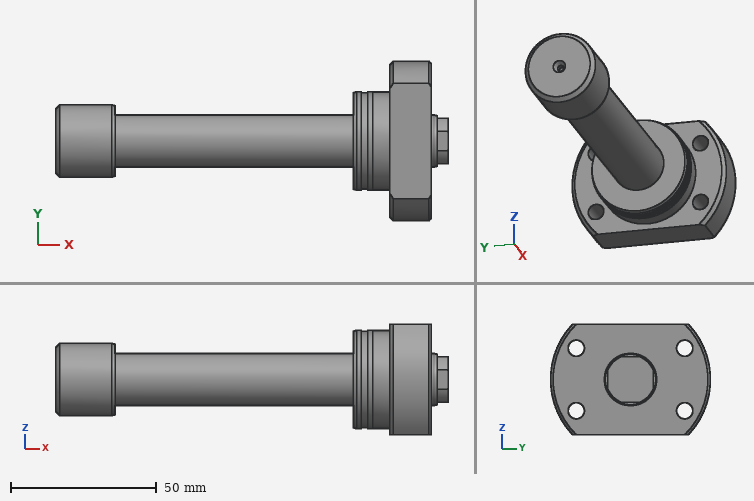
import cadquery as cq
import math


rod_length = 135.0
shank_diameter = 18.0
head_diameter = 25.0
head_length = 20.5
head_front_chamfer = 1.5
head_back_chamfer_length = 1.2
head_back_chamfer_angle = 20.0
shank_end_x = 131.2
shank_end_chamfer_length = 1.2
shank_end_chamfer_angle = 15.0
wrench_diameter = 17.2
wrench_across_flats = 15.8
wrench_end_chamfer_length = 0.5
wrench_end_chamfer_angle = 15.0

centre_mouth_diameter = 4.3
centre_pilot_diameter = 2.1
centre_cone_angle = 60.0
centre_pilot_depth = 4.0

flange_diameter = 55.0
flange_height = 38.0
flange_thickness = 14.3
flange_front_x = 114.8
flange_front_chamfer = 1.3
flange_back_chamfer = 0.9
spigot_diameter = 34.0
spigot_length = 12.5
spigot_chamfer_length = 1.2
spigot_chamfer_angle = 20.0
groove_diameter = 33.2
groove_front_offset = 2.8
groove_width = 2.1
land_width = 1.7
seat_diameter = 33.8

bolt_circle_diameter = 43.0
bolt_hole_diameter = 5.5
bolt_angle = 30.0


def revolve_about_x(points):
    """Close an (x, radius) outline and spin it round the X axis."""
    return cq.Workplane("XY").polyline(points).close().revolve(360, (0, 0, 0), (1, 0, 0))


def centre_hole():
    """Cone and pilot drilled into the head along +X."""
    mouth_radius = centre_mouth_diameter / 2
    pilot_radius = centre_pilot_diameter / 2
    cone_depth = (mouth_radius - pilot_radius) / math.tan(math.radians(centre_cone_angle / 2))
    return revolve_about_x([
        (0, 0),
        (0, mouth_radius),
        (cone_depth, pilot_radius),
        (centre_pilot_depth, pilot_radius),
        (centre_pilot_depth + pilot_radius, 0),
    ])


def make_rod():
    head_radius = head_diameter / 2
    shank_radius = shank_diameter / 2
    wrench_radius = wrench_diameter / 2
    back_chamfer_drop = head_back_chamfer_length * math.tan(math.radians(head_back_chamfer_angle))
    shank_end_drop = shank_end_chamfer_length * math.tan(math.radians(shank_end_chamfer_angle))
    wrench_end_drop = wrench_end_chamfer_length * math.tan(math.radians(wrench_end_chamfer_angle))
    turned = revolve_about_x([
        (0, 0),
        (0, head_radius - head_front_chamfer),
        (head_front_chamfer, head_radius),
        (head_length - head_back_chamfer_length, head_radius),
        (head_length, head_radius - back_chamfer_drop),
        (head_length, shank_radius),
        (shank_end_x - shank_end_chamfer_length, shank_radius),
        (shank_end_x, shank_radius - shank_end_drop),
        (shank_end_x, wrench_radius),
        (rod_length - wrench_end_chamfer_length, wrench_radius),
        (rod_length, wrench_radius - wrench_end_drop),
        (rod_length, 0),
    ])
    wrench_length = rod_length - shank_end_x
    flats_waste = (
        cq.Workplane("YZ", origin=(shank_end_x, 0, 0))
        .rect(shank_diameter, shank_diameter)
        .rect(wrench_across_flats, wrench_across_flats)
        .extrude(wrench_length)
    )
    return turned.cut(flats_waste).cut(centre_hole())


def make_bushing():
    flange_radius = flange_diameter / 2
    spigot_radius = spigot_diameter / 2
    groove_radius = groove_diameter / 2
    seat_radius = seat_diameter / 2
    bore_radius = shank_diameter / 2
    spigot_x = flange_front_x - spigot_length
    flange_back_x = flange_front_x + flange_thickness
    groove_x = spigot_x + groove_front_offset
    land_x = groove_x + groove_width
    seat_x = land_x + land_width
    chamfer_drop = spigot_chamfer_length * math.tan(math.radians(spigot_chamfer_angle))
    turned = revolve_about_x([
        (spigot_x, bore_radius),
        (spigot_x, spigot_radius - chamfer_drop),
        (spigot_x + spigot_chamfer_length, spigot_radius),
        (groove_x, spigot_radius),
        (groove_x, groove_radius),
        (land_x, groove_radius),
        (land_x, spigot_radius),
        (seat_x, spigot_radius),
        (seat_x, seat_radius),
        (flange_front_x, seat_radius),
        (flange_front_x, flange_radius - flange_front_chamfer),
        (flange_front_x + flange_front_chamfer, flange_radius),
        (flange_back_x - flange_back_chamfer, flange_radius),
        (flange_back_x, flange_radius - flange_back_chamfer),
        (flange_back_x, bore_radius),
    ])

    flat_sided_block = (
        cq.Workplane("YZ", origin=(spigot_x, 0, 0))
        .rect(flange_diameter, flange_height)
        .extrude(flange_back_x - spigot_x)
    )

    bolt_y = bolt_circle_diameter / 2 * math.cos(math.radians(bolt_angle))
    bolt_z = bolt_circle_diameter / 2 * math.sin(math.radians(bolt_angle))
    bolt_holes = (
        cq.Workplane("YZ", origin=(flange_front_x, 0, 0))
        .rect(2 * bolt_y, 2 * bolt_z, forConstruction=True)
        .vertices()
        .circle(bolt_hole_diameter / 2)
        .extrude(flange_thickness)
    )
    return turned.intersect(flat_sided_block).cut(bolt_holes)


rod = make_rod()
bushing = make_bushing()
result = cq.Compound.makeCompound([rod.val(), bushing.val()])